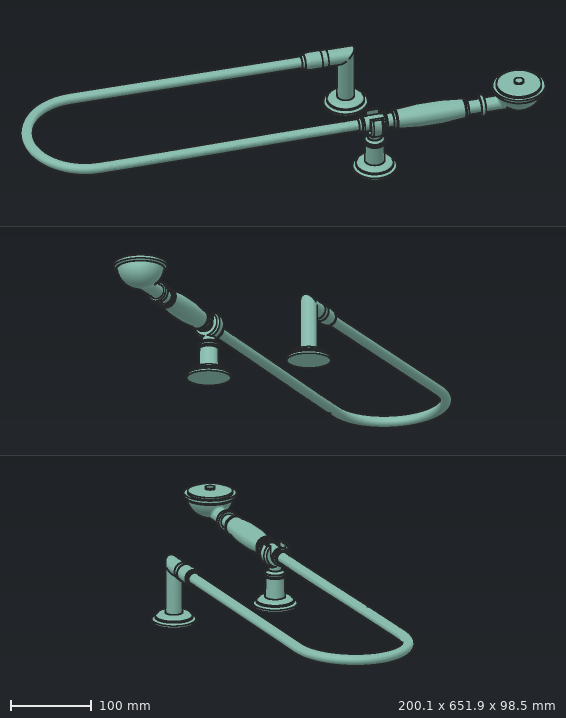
import cadquery as cq

HOLDER_X = 139.5
OUTLET_Z = 73.5
HANDSET_Z = 69.0
HEAD_Y = 185.0

FLANGE_RADIUS = 27.7
FLANGE_HEIGHT = 12.05
FLANGE_EDGE_HEIGHT = 3.0
FLANGE_SKIRT_MIDDLE = (27.0, 4.9)
FLANGE_SKIRT_TOP_RADIUS = 24.0
FLANGE_STEP_RADIUS = 23.5
FLANGE_STEP_LOW = 6.0
FLANGE_STEP_HIGH = 8.0
FLANGE_SHOULDER_MIDDLE = (21.5, 10.5)
FLANGE_TOP_RADIUS = 17.5

ELBOW_RADIUS = 10.75
ELBOW_END_Y = -24.0
NUT_NECK_RADIUS = 11.0
NUT_RADIUS = 11.4
NUT_MOUTH_RADIUS = 10.5
NUT_NECK_LENGTH = 8.0
NUT_GRIP_LENGTH = 15.5
NUT_TAPER_LENGTH = 6.0
COLLAR_RADIUS = 8.8
COLLAR_LENGTH = 4.0
NUT_MOUTH_Y = ELBOW_END_Y - NUT_NECK_LENGTH - NUT_GRIP_LENGTH - NUT_TAPER_LENGTH
OUTLET_END_Y = NUT_MOUTH_Y - COLLAR_LENGTH

HOSE_RADIUS = 7.5
BEND_Y = -354.5
BEND_RADIUS = 72.0

SLEEVE_FOOT_RADIUS = 12.7
SLEEVE_TOP_RADIUS = 12.0
SLEEVE_TOP_Z = 38.5
COLLAR_BASE_RADIUS = 12.5
LIP_RADIUS = 14.0
LIP_LOW_Z = 40.5
LIP_HIGH_Z = 43.5
SHOULDER_RADIUS = 9.0
NECK_RADIUS = 8.5
NECK_LOW_Z = 47.5
CRADLE_RADIUS = 18.0
CRADLE_HALF_WIDTH = 8.15
CRADLE_TOP_Z = 81.5
CRADLE_CHAMFER = 2.5

TUBE_RADIUS = 9.0
HEAD_TUBE_RADIUS = 9.45
SEAT_RADIUS = 10.0
SEAT_FLANGE_RADIUS = 11.4
SEAT_FLANGE_WIDTH = 2.5
SEAT_LOW_Y = -17.5
SEAT_HIGH_Y = 14.5
HANDSET_END_Y = SEAT_LOW_Y - COLLAR_LENGTH
FERRULE_RADIUS = 11.4
FERRULE_WIDTH = 4.5
FERRULE_LIP_RADIUS = 13.0
FERRULE_LIP_WIDTH = 1.0
GRIP_LOW_Y = 27.5
GRIP_HIGH_Y = 114.0
GRIP_END_RADIUS = 12.5
GRIP_MIDDLE_RADIUS = 15.3
RING_RADIUS = 14.0
RING_Y = 137.5
RING_WIDTH = 5.0
RING_EDGE_RADIUS = 12.5

BOWL_RADIUS = 30.0
BOWL_CENTER_Z = 89.0
BOWL_BLEND_RADIUS = 3.0
RIM_RADIUS = 32.9
RIM_LOW_Z = 85.0
RIM_MIDDLE_Z = 87.5
RIM_HIGH_Z = 91.0
PLATE_RADIUS = 28.0
PLATE_EDGE_Z = 94.0
PLATE_FACE_RADIUS = 25.0
PLATE_FACE_Z = 95.0
PLATE_DOME_Z = 96.5
BUTTON_RADIUS = 6.0
TOP_Z = 98.5


def turned_upright(points, x, y):
    """Solid turned about a vertical axis through (x, y) from an outline of (radius, z) points."""
    outline = cq.Workplane("XZ").polyline(points).close()
    return outline.revolve(360, (0, 0, 0), (0, 1, 0)).translate((x, y, 0))


def turned_along_y(points, x, z):
    """Solid turned about an axis along Y through (x, z) from an outline of (radius, y) points."""
    outline = cq.Workplane("XY").polyline(points).close()
    return outline.revolve(360, (0, 0, 0), (0, 1, 0)).translate((x, 0, z))


def rod_along_y(radius, low_y, high_y, x, z):
    """Round rod along Y between two places."""
    rod = cq.Workplane("XZ").circle(radius).extrude(low_y - high_y)
    return rod.translate((x, low_y, z))


def make_flange(x):
    """Round wall flange with a rounded skirt, a small step and a rounded shoulder."""
    outline = (
        cq.Workplane("XZ")
        .lineTo(FLANGE_RADIUS, 0)
        .lineTo(FLANGE_RADIUS, FLANGE_EDGE_HEIGHT)
        .threePointArc(FLANGE_SKIRT_MIDDLE, (FLANGE_SKIRT_TOP_RADIUS, FLANGE_STEP_LOW))
        .lineTo(FLANGE_STEP_RADIUS, FLANGE_STEP_LOW)
        .lineTo(FLANGE_STEP_RADIUS, FLANGE_STEP_HIGH)
        .threePointArc(FLANGE_SHOULDER_MIDDLE, (FLANGE_TOP_RADIUS, FLANGE_HEIGHT))
        .lineTo(0, FLANGE_HEIGHT)
        .close()
    )
    return outline.revolve(360, (0, 0, 0), (0, 1, 0)).translate((x, 0, 0))


def make_outlet_elbow():
    """Post and horizontal leg of one diameter, meeting in a mitre."""
    path = (
        cq.Workplane("YZ")
        .moveTo(0, FLANGE_HEIGHT)
        .lineTo(0, OUTLET_Z)
        .lineTo(ELBOW_END_Y, OUTLET_Z)
    )
    section = cq.Workplane("XY", origin=(0, 0, FLANGE_HEIGHT)).circle(ELBOW_RADIUS)
    return section.sweep(path, transition="right")


def make_coupling_nut():
    """Nut on the elbow end, tapering to a small collar that takes the hose."""
    grip_start_y = ELBOW_END_Y - NUT_NECK_LENGTH
    grip_end_y = grip_start_y - NUT_GRIP_LENGTH
    points = [
        (0, ELBOW_END_Y),
        (NUT_NECK_RADIUS, ELBOW_END_Y),
        (NUT_NECK_RADIUS, grip_start_y),
        (NUT_RADIUS, grip_start_y),
        (NUT_RADIUS, grip_end_y),
        (NUT_MOUTH_RADIUS, NUT_MOUTH_Y),
        (COLLAR_RADIUS, NUT_MOUTH_Y),
        (COLLAR_RADIUS, OUTLET_END_Y),
        (0, OUTLET_END_Y),
    ]
    return turned_along_y(points, 0, OUTLET_Z)


def make_hose():
    """Round hose from the coupling nut, around the bend and back to the handset."""
    outlet_end = cq.Vector(0, OUTLET_END_Y, OUTLET_Z)
    bend_start = cq.Vector(0, BEND_Y, OUTLET_Z)
    bend_end = cq.Vector(2 * BEND_RADIUS, BEND_Y, HANDSET_Z)
    bend_middle = (bend_start + bend_end) / 2 - cq.Vector(0, (bend_end - bend_start).Length / 2, 0)
    handset_end = cq.Vector(HOLDER_X, HANDSET_END_Y, HANDSET_Z)
    inward = cq.Vector(0, 1, 0)
    path = cq.Wire.assembleEdges(
        [
            cq.Edge.makeLine(outlet_end, bend_start),
            cq.Edge.makeThreePointArc(bend_start, bend_middle, bend_end),
            cq.Edge.makeSpline([bend_end, handset_end], tangents=[inward, inward]),
        ]
    )
    section = cq.Workplane("XZ", origin=outlet_end.toTuple()).circle(HOSE_RADIUS)
    return section.sweep(path)


def make_holder_sleeve():
    """Slightly tapered post standing on the holder flange."""
    points = [
        (0, FLANGE_HEIGHT),
        (SLEEVE_FOOT_RADIUS, FLANGE_HEIGHT),
        (SLEEVE_TOP_RADIUS, SLEEVE_TOP_Z),
        (0, SLEEVE_TOP_Z),
    ]
    return turned_upright(points, HOLDER_X, 0)


def make_cradle():
    """U-shaped cradle, open at the top, with its bore fitting the handset seat."""
    cradle = rod_along_y(CRADLE_RADIUS, -CRADLE_HALF_WIDTH, CRADLE_HALF_WIDTH, HOLDER_X, HANDSET_Z)
    return cradle.faces("<Y or >Y").chamfer(CRADLE_CHAMFER)


def make_holder_bracket():
    """Lipped collar, domed shoulder and neck carrying the cradle."""
    points = [
        (0, SLEEVE_TOP_Z),
        (COLLAR_BASE_RADIUS, SLEEVE_TOP_Z),
        (COLLAR_BASE_RADIUS, LIP_LOW_Z),
        (LIP_RADIUS, LIP_LOW_Z),
        (LIP_RADIUS, LIP_HIGH_Z),
        (COLLAR_BASE_RADIUS, LIP_HIGH_Z),
        (SHOULDER_RADIUS, NECK_LOW_Z),
        (NECK_RADIUS, NECK_LOW_Z),
        (NECK_RADIUS, HANDSET_Z),
        (0, HANDSET_Z),
    ]
    bracket = turned_upright(points, HOLDER_X, 0).union(make_cradle())
    bore = rod_along_y(SEAT_RADIUS, -CRADLE_RADIUS, CRADLE_RADIUS, HOLDER_X, HANDSET_Z)
    slot = cq.Workplane("XY", origin=(HOLDER_X, 0, HANDSET_Z))
    slot = slot.rect(2 * SEAT_RADIUS, 2 * CRADLE_RADIUS).extrude(CRADLE_RADIUS)
    above_arms = cq.Workplane("XY", origin=(HOLDER_X, 0, CRADLE_TOP_Z))
    above_arms = above_arms.rect(2 * CRADLE_RADIUS, 2 * CRADLE_RADIUS).extrude(CRADLE_RADIUS)
    return bracket.cut(bore).cut(slot).cut(above_arms)


def make_ring():
    """Ring around the handset tube with a rounded outer face."""
    low_y = RING_Y - RING_WIDTH / 2
    high_y = RING_Y + RING_WIDTH / 2
    outline = (
        cq.Workplane("XY")
        .moveTo(0, low_y)
        .lineTo(RING_EDGE_RADIUS, low_y)
        .threePointArc((RING_RADIUS, RING_Y), (RING_EDGE_RADIUS, high_y))
        .lineTo(0, high_y)
        .close()
    )
    return outline.revolve(360, (0, 0, 0), (0, 1, 0)).translate((HOLDER_X, 0, HANDSET_Z))


def make_handset_tube():
    """Tube with the hose collar, cradle seat, two ferrules and the ring near the head."""

    def piece(radius, low_y, high_y):
        return rod_along_y(radius, low_y, high_y, HOLDER_X, HANDSET_Z)

    tube = piece(TUBE_RADIUS, SEAT_LOW_Y, RING_Y)
    tube = tube.union(piece(HEAD_TUBE_RADIUS, RING_Y, HEAD_Y))
    tube = tube.union(piece(COLLAR_RADIUS, HANDSET_END_Y, SEAT_LOW_Y))
    tube = tube.union(piece(SEAT_RADIUS, SEAT_LOW_Y, SEAT_HIGH_Y))
    tube = tube.union(piece(SEAT_FLANGE_RADIUS, SEAT_LOW_Y, SEAT_LOW_Y + SEAT_FLANGE_WIDTH))
    tube = tube.union(piece(SEAT_FLANGE_RADIUS, SEAT_HIGH_Y - SEAT_FLANGE_WIDTH, SEAT_HIGH_Y))
    tube = tube.union(piece(FERRULE_RADIUS, GRIP_LOW_Y - FERRULE_WIDTH, GRIP_LOW_Y))
    tube = tube.union(piece(FERRULE_LIP_RADIUS, GRIP_LOW_Y - FERRULE_LIP_WIDTH, GRIP_LOW_Y))
    tube = tube.union(piece(FERRULE_RADIUS, GRIP_HIGH_Y, GRIP_HIGH_Y + FERRULE_WIDTH))
    tube = tube.union(piece(FERRULE_LIP_RADIUS, GRIP_HIGH_Y, GRIP_HIGH_Y + FERRULE_LIP_WIDTH))
    return tube.union(make_ring())


def make_handset():
    """Handset body: the tube joined to a round bowl with a projecting rim."""
    bowl = cq.Workplane("XY", origin=(HOLDER_X, HEAD_Y, BOWL_CENTER_Z)).sphere(BOWL_RADIUS)
    rim_points = [
        (0, RIM_LOW_Z),
        (BOWL_RADIUS, RIM_LOW_Z),
        (RIM_RADIUS, RIM_MIDDLE_Z),
        (RIM_RADIUS, RIM_HIGH_Z),
        (0, RIM_HIGH_Z),
    ]
    above_rim = cq.Workplane("XY", origin=(HOLDER_X, HEAD_Y, RIM_HIGH_Z))
    above_rim = above_rim.circle(RIM_RADIUS).extrude(BOWL_RADIUS)
    rim = turned_upright(rim_points, HOLDER_X, HEAD_Y)
    body = bowl.union(make_handset_tube())
    junction = cq.selectors.BoxSelector(
        (HOLDER_X - 2 * HEAD_TUBE_RADIUS, HEAD_Y - BOWL_RADIUS, HANDSET_Z - 2 * HEAD_TUBE_RADIUS),
        (HOLDER_X + 2 * HEAD_TUBE_RADIUS, HEAD_Y, HANDSET_Z + 2 * HEAD_TUBE_RADIUS),
    )
    body = body.edges(junction).fillet(BOWL_BLEND_RADIUS)
    return body.union(rim).cut(above_rim)


def make_grip():
    """Barrel-shaped grip sleeved over the handset tube between the ferrules."""
    outline = (
        cq.Workplane("XY")
        .moveTo(TUBE_RADIUS, GRIP_LOW_Y)
        .lineTo(GRIP_END_RADIUS, GRIP_LOW_Y)
        .threePointArc(
            (GRIP_MIDDLE_RADIUS, (GRIP_LOW_Y + GRIP_HIGH_Y) / 2),
            (GRIP_END_RADIUS, GRIP_HIGH_Y),
        )
        .lineTo(TUBE_RADIUS, GRIP_HIGH_Y)
        .close()
    )
    return outline.revolve(360, (0, 0, 0), (0, 1, 0)).translate((HOLDER_X, 0, HANDSET_Z))


def make_spray_plate():
    """Slightly domed plate on the rim with a beveled edge and a round button in its middle."""
    points = [
        (0, RIM_HIGH_Z),
        (PLATE_RADIUS, RIM_HIGH_Z),
        (PLATE_RADIUS, PLATE_EDGE_Z),
        (PLATE_FACE_RADIUS, PLATE_FACE_Z),
        (BUTTON_RADIUS, PLATE_DOME_Z),
        (BUTTON_RADIUS, TOP_Z),
        (0, TOP_Z),
    ]
    return turned_upright(points, HOLDER_X, HEAD_Y)


flanges = [make_flange(x) for x in (0, HOLDER_X)]
outlet_elbow = make_outlet_elbow()
coupling_nut = make_coupling_nut()
hose = make_hose()
holder_sleeve = make_holder_sleeve()
holder_bracket = make_holder_bracket()
handset = make_handset()
grip = make_grip()
spray_plate = make_spray_plate()

result = cq.Compound.makeCompound(
    [
        *[flange.val() for flange in flanges],
        outlet_elbow.val(),
        coupling_nut.val(),
        hose.val(),
        holder_sleeve.val(),
        holder_bracket.val(),
        handset.val(),
        grip.val(),
        spray_plate.val(),
    ]
)